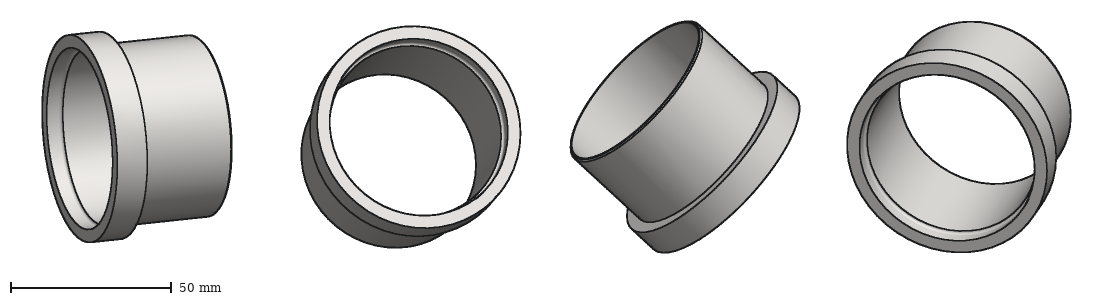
import cadquery as cq

total_length = 40.0
flange_length = 10.0

flange_diameter = 65.0
sleeve_diameter = 56.9
bore_diameter = 54.9
recess_diameter = sleeve_diameter

recess_depth = 5.0
rim_chamfer = 0.5

flange_radius = flange_diameter / 2
sleeve_radius = sleeve_diameter / 2
bore_radius = bore_diameter / 2
recess_radius = recess_diameter / 2
recess_fillet = recess_radius - bore_radius


def bushing():
    """Flanged sleeve revolved about Y, with its flange face at Y = 0."""
    half_section = (
        cq.Workplane("XY")
        .moveTo(recess_radius, 0)
        .lineTo(flange_radius, 0)
        .lineTo(flange_radius, flange_length)
        .lineTo(sleeve_radius, flange_length)
        .lineTo(sleeve_radius, total_length - rim_chamfer)
        .lineTo(sleeve_radius - rim_chamfer, total_length)
        .lineTo(bore_radius, total_length)
        .lineTo(bore_radius, recess_depth)
        .radiusArc((recess_radius, recess_depth - recess_fillet), recess_fillet)
        .close()
    )
    return half_section.revolve(360, (0, 0, 0), (0, 1, 0))


result = bushing()